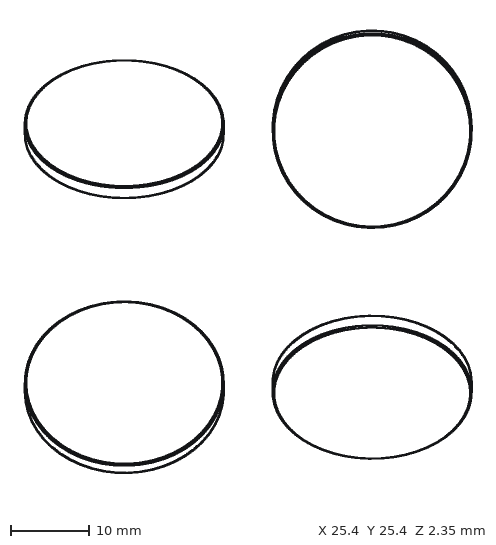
import cadquery as cq

diameter = 25.4
centre_thickness = 2.35
dome_rise = 0.35
bevel = 0.2
top_bevel_height = 0.15

radius = diameter / 2
face_radius = radius - bevel
dome_edge_z = centre_thickness - dome_rise

sphere_radius = (face_radius**2 + dome_rise**2) / (2 * dome_rise)
mid_x = face_radius / 2
mid_z = centre_thickness - sphere_radius + (sphere_radius**2 - mid_x**2) ** 0.5

half_section = (
    cq.Workplane("XZ")
    .lineTo(face_radius, 0)
    .lineTo(radius, bevel)
    .lineTo(radius, dome_edge_z - top_bevel_height)
    .lineTo(face_radius, dome_edge_z)
    .threePointArc((mid_x, mid_z), (0, centre_thickness))
    .close()
)

result = half_section.revolve(360, (0, 0, 0), (0, 1, 0))